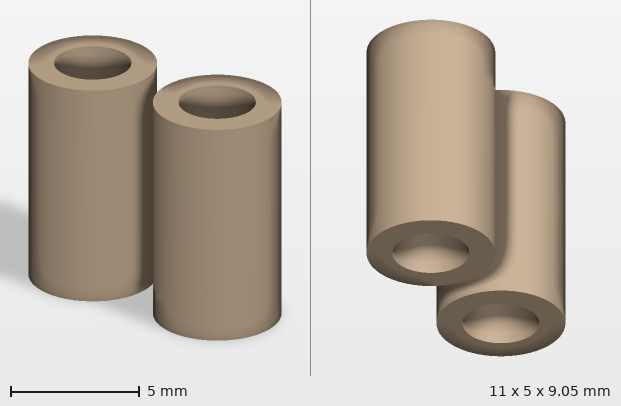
import cadquery as cq

overall_length = 11.0
outer_diameter = 5.0
bore_diameter = 3.0
sleeve_height = 9.05

sleeve_spacing = overall_length - outer_diameter
sleeve_centers_x = [-sleeve_spacing / 2, sleeve_spacing / 2]


def make_sleeve(center_x):
    """Plain upright tube with a through bore, standing on Z = 0."""
    return (
        cq.Workplane("XY")
        .center(center_x, 0)
        .circle(outer_diameter / 2)
        .circle(bore_diameter / 2)
        .extrude(sleeve_height)
    )


sleeves = [make_sleeve(center_x) for center_x in sleeve_centers_x]

result = cq.Compound.makeCompound([sleeve.val() for sleeve in sleeves])